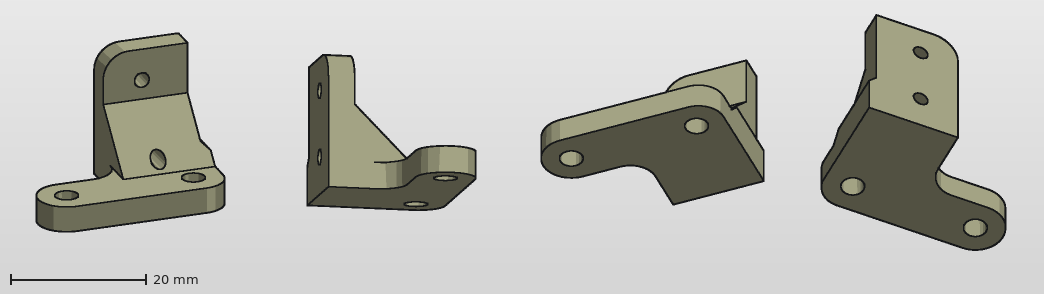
import cadquery as cq

length = 29.0
width = 20.0
height = 20.65

thickness = 4.0
corner_radius = 4.0
arm_end_radius = 4.5
pad_front = 14.5
arm_left = width - 2 * arm_end_radius
mount_hole_diameter = 3.5
mount_hole_x = width - arm_end_radius
mount_hole_spacing = 20.0

gusset_reach = 8.65
wall_back = 27.8
back_step_height = 5.85

cross_hole_diameter = 2.3
cross_hole_y = 20.6
cross_hole_bottom_z = 5.68
cross_hole_spacing = 10.0


def make_base():
    arm = (
        cq.Workplane("XY")
        .moveTo(0, pad_front)
        .lineTo(arm_left - corner_radius, pad_front)
        .radiusArc((arm_left, pad_front - corner_radius), corner_radius)
        .lineTo(arm_left, arm_end_radius)
        .radiusArc((width, arm_end_radius), -arm_end_radius)
        .lineTo(width, length)
        .lineTo(0, length)
        .close()
        .extrude(thickness)
    )
    return arm.edges("|Z and >X and >Y").fillet(corner_radius)


def make_upright():
    """Wall and gusset section, trimmed to the rounded and stepped side outline."""
    section = (
        cq.Workplane("XZ", origin=(0, length, 0))
        .moveTo(0, 0)
        .lineTo(thickness + gusset_reach, 0)
        .lineTo(thickness + gusset_reach, thickness)
        .lineTo(thickness, thickness + gusset_reach)
        .lineTo(thickness, height)
        .lineTo(0, height)
        .close()
        .extrude(length - pad_front)
    )
    back_slope_top = back_step_height + length - wall_back
    side_outline = (
        cq.Workplane("YZ")
        .moveTo(pad_front, 0)
        .lineTo(length, 0)
        .lineTo(length, back_step_height)
        .lineTo(wall_back, back_slope_top)
        .lineTo(wall_back, height)
        .lineTo(pad_front + corner_radius, height)
        .radiusArc((pad_front, height - corner_radius), -corner_radius)
        .close()
        .extrude(width)
    )
    return section.intersect(side_outline)


def make_mount_holes():
    return (
        cq.Workplane("XY")
        .pushPoints([(mount_hole_x, arm_end_radius + i * mount_hole_spacing) for i in range(2)])
        .circle(mount_hole_diameter / 2)
        .extrude(thickness)
    )


def make_cross_holes():
    return (
        cq.Workplane("YZ")
        .pushPoints([(cross_hole_y, cross_hole_bottom_z + i * cross_hole_spacing) for i in range(2)])
        .circle(cross_hole_diameter / 2)
        .extrude(width)
    )


result = make_base().union(make_upright()).cut(make_mount_holes()).cut(make_cross_holes())